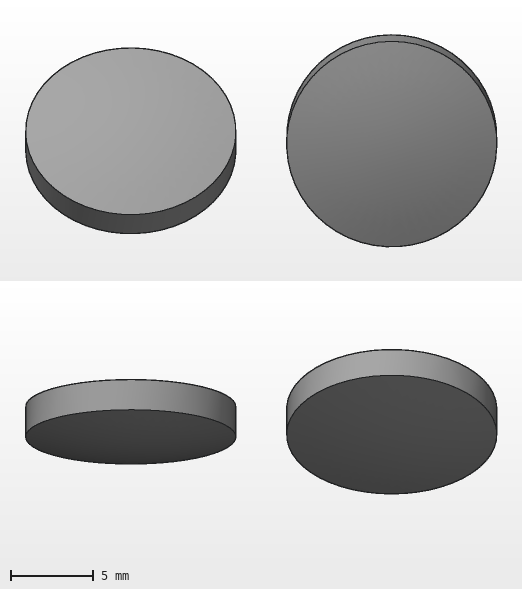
import cadquery as cq

diameter = 12.7
center_thickness = 3.45
rim_thickness = 1.89

radius = diameter / 2
half_rim = rim_thickness / 2
half_center = center_thickness / 2

dome_height = half_center - half_rim
sphere_radius = (radius**2 + dome_height**2) / (2 * dome_height)


def dome_surface_height(x):
    """Height of the upper spherical face at distance x from the lens axis."""
    sphere_center_height = half_center - sphere_radius
    return sphere_center_height + (sphere_radius**2 - x**2) ** 0.5


arc_x = radius / 2
arc_z = dome_surface_height(arc_x)

half_section = (
    cq.Workplane("XZ")
    .moveTo(0, -half_center)
    .threePointArc((arc_x, -arc_z), (radius, -half_rim))
    .lineTo(radius, half_rim)
    .threePointArc((arc_x, arc_z), (0, half_center))
    .close()
)
result = half_section.revolve(360, (0, 0, 0), (0, 1, 0))